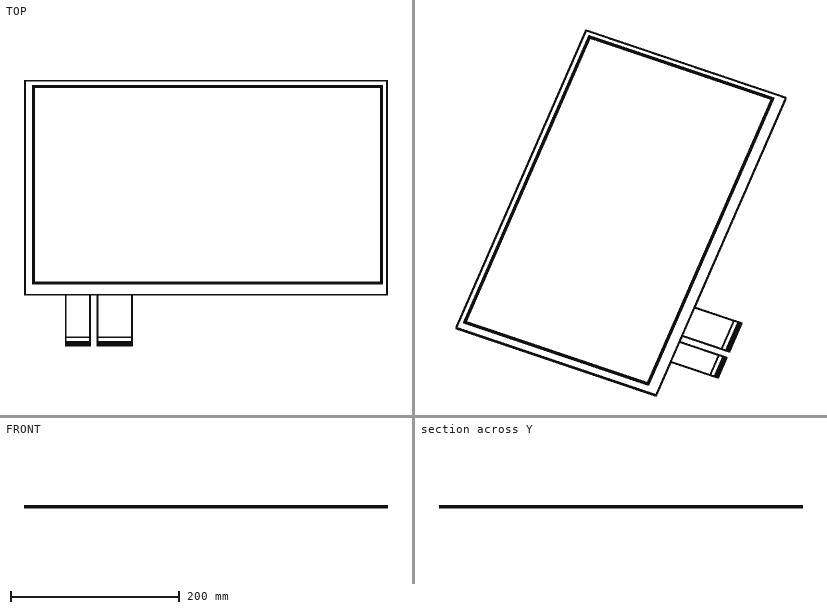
import cadquery as cq

panel_length = 429.0
panel_width = 253.5
panel_thickness = 2.35

window_length = 409.8
window_width = 230.4
window_shift_x = 1.9
window_shift_y = 3.6
groove_width = 1.8
groove_depth = 0.5

tail_reach = 60.0
tail_root = 1.0
tail_top = -0.9
tail_thickness = 0.3
tails = [(48.4, 29.0), (86.0, 41.0)]

stiffener_length = 10.0
stiffener_thickness = 0.3

contact_length = 4.5
strip_depth = 0.2
contact_thickness = 0.05
contact_pitch = 1.0
contact_width = 0.5
contact_margin = 1.0


def block(x, y, z, length, width, height):
    """Block with its lowest corner at (x, y, z)."""
    return cq.Workplane("XY").box(length, width, height, centered=False).translate((x, y, z))


def make_panel():
    """Flat panel with the frame groove cut into its top face."""
    panel = block(0, 0, -panel_thickness, panel_length, panel_width, panel_thickness)
    frame_length = window_length + 2 * groove_width
    frame_width = window_width + 2 * groove_width
    groove = (
        cq.Workplane("XY")
        .center(panel_length / 2 + window_shift_x, panel_width / 2 + window_shift_y)
        .rect(frame_length, frame_width)
        .rect(window_length, window_width)
        .extrude(-groove_depth)
    )
    return panel.cut(groove)


def make_contacts(left, width, top):
    """Row of contact strips hanging below the height top, centred across a tail."""
    count = int((width - 2 * contact_margin) / contact_pitch) + 1
    row_width = (count - 1) * contact_pitch + contact_width
    first_x = left + (width - row_width) / 2
    bottom = top - contact_thickness
    contacts = cq.Workplane("XY")
    for i in range(count):
        x = first_x + i * contact_pitch
        contacts.add(block(x, -tail_reach, bottom, contact_width, contact_length, contact_thickness))
    return contacts.combine()


def make_tail(left, width):
    """Thin tail with a stiffener above its end and contacts below it."""
    tail_bottom = tail_top - tail_thickness
    tail = block(left, -tail_reach, tail_bottom, width, tail_reach + tail_root, tail_thickness)
    stiffener = block(left, -tail_reach, tail_top, width, stiffener_length, stiffener_thickness)
    stripped = block(left, -tail_reach, tail_bottom, width, contact_length, strip_depth)
    contacts = make_contacts(left, width, tail_bottom + strip_depth)
    return tail.union(stiffener).cut(stripped).union(contacts)


result = make_panel()
for tail_left, tail_width in tails:
    result = result.union(make_tail(tail_left, tail_width))